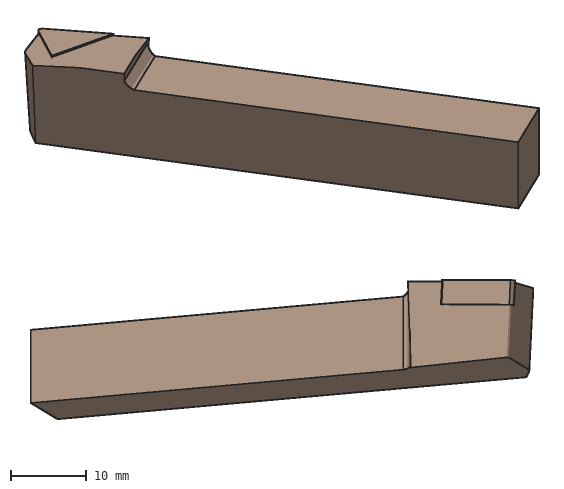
import cadquery as cq

overall_length = 69.7
shank_size = 10.0

head_height = 12.2
head_end_x = 15.4
neck_end_x = 16.8
neck_wall_size = 11.1
neck_radius = 2.8

seat_ridge_x = 9.3
seat_rise_x = 0.095
seat_fall_y = 0.11

front_x = 0.3
nose_front_y = 12.2
nose_middle = (0.4, 12.55)
nose_x = 0.85
nose_side_y = 12.7
side_end_y = 11.9
blend_start = (0.3, 5.45)
blend_end = (0.59, 4.1)
relief_end = (2.8, 0.0)
prism_depth = 17.4
trim_margin = 7.0

insert_lift = 0.2
insert_thickness = 3.3
insert_nose_front = (0.02, 12.2)
insert_nose_middle = (0.085, 12.7)
insert_nose_side = (0.4, 13.0)
insert_rear_corner = (10.4, 12.35)
insert_inner_corner = (4.45, 3.35)


def tilted_plane(lift):
    """Plane parallel to the seat, raised along Z by the given lift."""
    return cq.Plane(
        origin=(seat_ridge_x, 0, head_height + lift),
        xDir=(1, 0, seat_rise_x),
        normal=(-seat_rise_x, seat_fall_y, 1),
    )


seat_plane = tilted_plane(0)
insert_plane = tilted_plane(insert_lift)


def on_seat(point):
    """Local coordinates, on the seat or any plane parallel to it, of a given X and Y."""
    x, y = point
    z = head_height + seat_rise_x * (x - seat_ridge_x) - seat_fall_y * y
    local = seat_plane.toLocalCoords(cq.Vector(x, y, z))
    return (local.x, local.y)


def make_head():
    """Head with flanks square to the seat plane, trimmed to upright and level faces."""
    run_on_x = relief_end[0] + (relief_end[0] - blend_end[0])
    run_on_y = relief_end[1] + (relief_end[1] - blend_end[1])
    side_slope = (side_end_y - nose_side_y) / (head_end_x - nose_x)
    far_x = head_end_x + trim_margin
    far_y = side_end_y + side_slope * trim_margin

    prism = (
        cq.Workplane(seat_plane)
        .moveTo(*on_seat((front_x, nose_front_y)))
        .lineTo(*on_seat(blend_start))
        .tangentArcPoint(on_seat(blend_end), relative=False)
        .lineTo(*on_seat((run_on_x, run_on_y)))
        .lineTo(*on_seat((far_x, run_on_y)))
        .lineTo(*on_seat((far_x, far_y)))
        .lineTo(*on_seat((nose_x, nose_side_y)))
        .threePointArc(on_seat(nose_middle), on_seat((front_x, nose_front_y)))
        .close()
        .extrude(-prism_depth)
    )
    trim = cq.Workplane("XY").box(
        head_end_x + trim_margin, side_end_y + trim_margin, head_height, centered=False
    ).translate((-trim_margin, 0, 0))
    return prism.intersect(trim)


def neck_profile(plane):
    """Side profile of the neck, curving from the head down to the shank size."""
    return (
        cq.Workplane(plane)
        .moveTo(head_end_x, 0)
        .lineTo(neck_end_x, 0)
        .lineTo(neck_end_x, shank_size)
        .radiusArc((head_end_x, neck_wall_size), neck_radius)
        .close()
    )


def make_neck():
    """Neck that curves down to the shank both in height and in width."""
    height_shape = neck_profile("XZ").extrude(-neck_wall_size)
    width_shape = neck_profile("XY").extrude(neck_wall_size)
    return height_shape.intersect(width_shape)


def make_shank():
    """Square bar behind the neck."""
    length = overall_length - neck_end_x
    bar = cq.Workplane("XY").box(length, shank_size, shank_size, centered=False)
    return bar.translate((neck_end_x, 0, 0))


def make_insert():
    """Triangular cutting insert with a rounded nose, standing slightly above the seat."""
    return (
        cq.Workplane(insert_plane)
        .moveTo(*on_seat(insert_nose_front))
        .threePointArc(on_seat(insert_nose_middle), on_seat(insert_nose_side))
        .lineTo(*on_seat(insert_rear_corner))
        .lineTo(*on_seat(insert_inner_corner))
        .close()
        .extrude(-insert_thickness)
    )


insert = make_insert()
holder = make_shank().union(make_neck()).union(make_head()).cut(insert)

result = cq.Compound.makeCompound([holder.solids().val(), insert.val()])